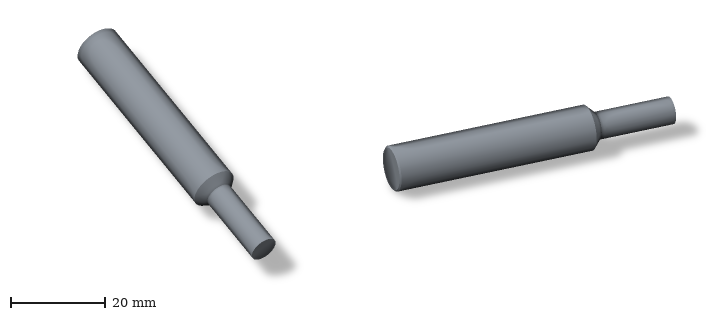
import cadquery as cq

total_length = 64.0
handle_diameter = 10.0
shank_diameter = 6.0
barrel_length = 45.0
collar_length = 1.0
end_chamfer = 0.3

handle_radius = handle_diameter / 2
shank_radius = shank_diameter / 2
taper_length = handle_radius - shank_radius
taper_end = barrel_length + taper_length
handle_length = taper_end + collar_length
shank_length = total_length - handle_length


def make_handle():
    """Round barrel with a chamfered free end, a taper and a short collar."""
    half_profile = (
        cq.Workplane("XY")
        .moveTo(0, 0)
        .lineTo(0, -(handle_radius - end_chamfer))
        .lineTo(end_chamfer, -handle_radius)
        .lineTo(barrel_length, -handle_radius)
        .lineTo(taper_end, -shank_radius)
        .lineTo(handle_length, -shank_radius)
        .lineTo(handle_length, 0)
        .close()
    )
    return half_profile.revolve(360, (0, 0), (1, 0))


def make_shank():
    """Plain round shank butting against the handle's collar."""
    half_profile = (
        cq.Workplane("XZ")
        .center(handle_length, 0)
        .rect(shank_length, shank_radius, centered=False)
    )
    return half_profile.revolve(360, (0, 0), (1, 0))


handle = make_handle()
shank = make_shank()

result = cq.Compound.makeCompound([handle.val(), shank.val()])